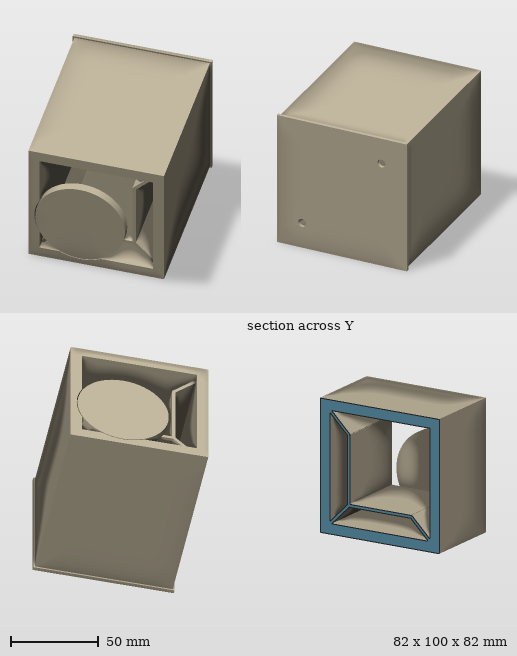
import cadquery as cq
import math

total_depth = 100.0
panel_size = 82.0
panel_thickness = 2.0
box_size = 80.0
frame_thickness = 5.0
housing_wall = 6.5

web_thickness = 2.0
web_center = 21.0

disc_radius = 26.5
disc_clearance = 0.5
disc_center = -9.5

vent_radius = 2.5
vent_offset = 25.0

front_y = -total_depth / 2
housing_front_y = front_y + frame_thickness
panel_front_y = total_depth / 2 - panel_thickness
housing_depth = panel_front_y - housing_front_y

cavity_size = box_size - 2 * housing_wall


def block(size_x, size_z, depth, start_y):
    """Block centred on the Y axis, running from start_y toward +Y."""
    return cq.Workplane("XY").box(size_x, depth, size_z).translate((0, start_y + depth / 2, 0))


def rod(radius, depth, start_y, x, z):
    """Cylinder along +Y with its axis at the given X and Z."""
    return cq.Workplane(cq.Solid.makeCylinder(radius, depth, cq.Vector(x, start_y, z), cq.Vector(0, 1, 0)))


def straight_webs():
    """Partitions below and to the +X side of the axis, meeting in the lower +X corner."""
    corner = web_center + web_thickness / 2
    length = corner + web_center
    shift = corner - length / 2
    floor_web = block(length, web_thickness, housing_depth, housing_front_y)
    side_web = block(web_thickness, length, housing_depth, housing_front_y)
    return [floor_web.translate((shift, 0, -web_center)), side_web.translate((web_center, 0, -shift))]


def corner_web(angle):
    """Diagonal partition from the end of a straight web into the housing corner at the given angle."""
    bend_overlap = web_thickness / 2 * (math.sqrt(2) - 1)
    inner = web_center * math.sqrt(2) - bend_overlap
    outer = (cavity_size + housing_wall) / 2 * math.sqrt(2)
    web = block(outer - inner, web_thickness, housing_depth, housing_front_y)
    return web.translate(((inner + outer) / 2, 0, 0)).rotate((0, 0, 0), (0, 1, 0), -angle)


def make_housing():
    """Square tube with an L-shaped partition tied to three of its corners."""
    housing = block(box_size, box_size, housing_depth, housing_front_y)
    housing = housing.cut(block(cavity_size, cavity_size, housing_depth, housing_front_y))
    for web in straight_webs():
        housing = housing.union(web)
    for angle in (45, -45, -135):
        housing = housing.union(corner_web(angle))
    return housing


def make_frame():
    """Front frame with a square opening and a round seat for the disc."""
    frame = block(box_size, box_size, frame_thickness, front_y)
    frame = frame.cut(block(cavity_size, cavity_size, frame_thickness, front_y))
    seat_radius = disc_radius + disc_clearance
    return frame.cut(rod(seat_radius, frame_thickness, front_y, disc_center, disc_center))


def make_panel():
    """Back panel with two vent holes on one diagonal."""
    panel = block(panel_size, panel_size, panel_thickness, panel_front_y)
    for side in (-1, 1):
        panel = panel.cut(
            rod(vent_radius, panel_thickness, panel_front_y, side * vent_offset, -side * vent_offset)
        )
    return panel


def make_disc():
    """Round disc flush with the front of the frame."""
    return rod(disc_radius, frame_thickness, front_y, disc_center, disc_center)


housing = make_housing()
frame = make_frame()
panel = make_panel()
disc = make_disc()

result = cq.Compound.makeCompound([housing.val(), frame.val(), panel.val(), disc.val()])